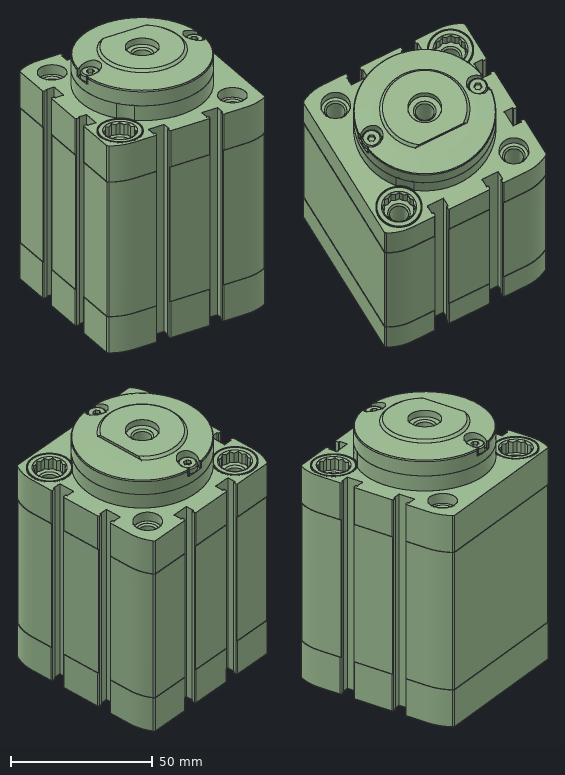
import cadquery as cq
import math


WIDTH = 65.5
HALF = WIDTH / 2
TOTAL_HEIGHT = 101.0
HOUSING_HEIGHT = 85.7
END_HEIGHT = 15.0
BARREL_INSET = 0.15

FLANK_RADIUS = 18.0
FLANK_START_Y = 23.2
FLANK_END_Y = 32.2
Y_FACE_HALF_WIDTH = 29.7

SLOT_OFFSET = 11.05
SLOT_OPENING = 5.2
SLOT_INNER_WIDTH = 6.5
SLOT_DEPTH = 4.9
SLOT_LIP = 1.6
SLOT_EDGE_CHAMFER = 0.4

THREAD_DIAMETER = 6.65
THREAD_MOUTH_DIAMETER = 8.0
THREAD_SINK = (THREAD_MOUTH_DIAMETER - THREAD_DIAMETER) / 2
DRILL_POINT_ANGLE = 118.0

CORNER_OFFSET = 23.25
CORNER_BORE_DIAMETER = 10.5
CORNER_BORE_DEPTH = 4.0
BUSH_DIAMETER = 16.4
BUSH_CHAMFER = 0.4
SOCKET_POINTS = 12
SOCKET_OUTER_DIAMETER = 11.8
SOCKET_INNER_DIAMETER = 10.8
SOCKET_MOUTH_DIAMETER = 12.4
SOCKET_DEPTH = 5.1

COLLAR_DIAMETER = 50.5
COLLAR_TOP = 91.8
COLLAR_RELIEF_DIAMETER = 17.0
CAP_TOP = 100.0
CAP_FACE_DIAMETER = 37.0
CAP_RIM_TOP = 98.1
CAP_RIM_INSET = 0.25
CAP_RIM_CHAMFER_HEIGHT = 0.5

ROD_DIAMETER = 32.0
ROD_FLAT = 12.1
ROD_BOTTOM = 15.0
ROD_CHAMFER = 1.0
ROD_BORE_DIAMETER = 12.0
ROD_BORE_DEPTH = 2.6
ROD_THREAD_DEPTH = 16.0

SCREW_OFFSET = 21.5
SCREW_HEAD_DIAMETER = 7.0
SCREW_HEAD_TOP = 97.7
SCREW_HEAD_CHAMFER = 0.5
SCREW_SEAT = 95.2
SCREW_SHANK_DIAMETER = 4.0
SCREW_BOTTOM = 82.0
SCREW_HEX_ACROSS_FLATS = 2.5
SCREW_HEX_DEPTH = 1.5
RECESS_DIAMETER = 8.0
NOTCH_WIDTH = 7.0
NOTCH_START = 24.6


def cylinder(diameter, bottom, top, x=0.0, y=0.0):
    return cq.Workplane("XY", origin=(x, y, bottom)).circle(diameter / 2).extrude(top - bottom)


def cone(bottom_diameter, top_diameter, bottom, top, x=0.0, y=0.0):
    base = cq.Vector(x, y, bottom)
    return cq.Workplane(obj=cq.Solid.makeCone(bottom_diameter / 2, top_diameter / 2, top - bottom, base))


def countersink(mouth, x=0.0, y=0.0):
    """45 degree entry of a threaded hole, with its wide end at Z = mouth."""
    return cone(THREAD_DIAMETER, THREAD_MOUTH_DIAMETER, mouth - THREAD_SINK, mouth, x, y)


def flatted_bar(bottom, top):
    """Round bar of the rod's diameter with one flat on its -X side."""
    keep = cq.Workplane("XY", origin=(-ROD_FLAT, 0, bottom)).box(
        2 * ROD_DIAMETER, 2 * ROD_DIAMETER, top - bottom, centered=(False, True, False)
    )
    return cylinder(ROD_DIAMETER, bottom, top).intersect(keep)


def flank_point(y):
    """Point of the (+X, +Y) corner arc at the given Y."""
    rise = y - FLANK_START_Y
    x = HALF - FLANK_RADIUS + math.sqrt(FLANK_RADIUS**2 - rise**2)
    return (x, y)


def block_outline(bottom):
    """Square outline whose corners are narrowed by arcs, at Z = bottom."""
    start = flank_point(FLANK_START_Y)
    middle = flank_point((FLANK_START_Y + FLANK_END_Y) / 2)
    end = flank_point(FLANK_END_Y)
    quarter = (
        cq.Workplane("XY", origin=(0, 0, bottom))
        .moveTo(HALF, 0)
        .lineTo(*start)
        .threePointArc(middle, end)
        .lineTo(Y_FACE_HALF_WIDTH, HALF)
        .lineTo(0, HALF)
    )
    return quarter.mirrorY().mirrorX()


def block(bottom, top):
    return block_outline(bottom).extrude(top - bottom)


def barrel_skin():
    """Thin layer taken off the outside of the housing between its two ends."""
    bottom = END_HEIGHT
    top = HOUSING_HEIGHT - END_HEIGHT
    barrel = block_outline(bottom).offset2D(-BARREL_INSET).extrude(top - bottom)
    return block(bottom, top).cut(barrel)


def slot_cutter():
    """T-slot with chamfered edges through the full height, in the -Y face at X = 0."""
    half_opening = SLOT_OPENING / 2
    half_mouth = half_opening + SLOT_EDGE_CHAMFER
    half_inner = SLOT_INNER_WIDTH / 2
    return (
        cq.Workplane("XY", origin=(0, -HALF, 0))
        .moveTo(0, 0)
        .lineTo(half_mouth, 0)
        .lineTo(half_opening, SLOT_EDGE_CHAMFER)
        .lineTo(half_opening, SLOT_LIP)
        .lineTo(half_inner, SLOT_LIP)
        .lineTo(half_inner, SLOT_DEPTH)
        .lineTo(0, SLOT_DEPTH)
        .mirrorY()
        .extrude(HOUSING_HEIGHT)
    )


def plain_corner_hole(x, y):
    mouth = HOUSING_HEIGHT - CORNER_BORE_DEPTH
    hole = cylinder(THREAD_DIAMETER, 0, mouth, x, y)
    hole = hole.union(countersink(mouth, x, y))
    return hole.union(cylinder(CORNER_BORE_DIAMETER, mouth, HOUSING_HEIGHT, x, y))


def socket(bottom, x, y):
    """Many-pointed star recess with a conical mouth."""
    points = []
    for i in range(2 * SOCKET_POINTS):
        diameter = SOCKET_OUTER_DIAMETER if i % 2 == 0 else SOCKET_INNER_DIAMETER
        angle = math.pi * i / SOCKET_POINTS
        points.append((diameter / 2 * math.cos(angle), diameter / 2 * math.sin(angle)))
    star = (
        cq.Workplane("XY", origin=(x, y, bottom)).polyline(points).close().extrude(HOUSING_HEIGHT - bottom)
    )
    sink = (SOCKET_MOUTH_DIAMETER - SOCKET_INNER_DIAMETER) / 2
    mouth = cone(
        SOCKET_INNER_DIAMETER, SOCKET_MOUTH_DIAMETER, HOUSING_HEIGHT - sink, HOUSING_HEIGHT, x, y
    )
    return star.union(mouth)


def bush_corner_hole(x, y):
    mouth = HOUSING_HEIGHT - SOCKET_DEPTH
    hole = cylinder(THREAD_DIAMETER, 0, mouth, x, y)
    hole = hole.union(countersink(mouth, x, y))
    return hole.union(socket(mouth, x, y))


def bush_groove(x, y):
    """V-groove around the chamfered rim of a corner bush."""
    floor = HOUSING_HEIGHT - BUSH_CHAMFER
    ring = cylinder(BUSH_DIAMETER, floor, HOUSING_HEIGHT, x, y)
    rim = cone(BUSH_DIAMETER, BUSH_DIAMETER - 2 * BUSH_CHAMFER, floor, HOUSING_HEIGHT, x, y)
    return ring.cut(rim)


def build_housing():
    body = block(0, HOUSING_HEIGHT).cut(barrel_skin())

    for face_angle in (-90, 0, 90):
        for side in (-1, 1):
            cutter = slot_cutter().translate((side * SLOT_OFFSET, 0, 0))
            body = body.cut(cutter.rotate((0, 0, 0), (0, 0, 1), face_angle))

    body = body.union(cylinder(COLLAR_DIAMETER, HOUSING_HEIGHT, COLLAR_TOP))

    for side in (-1, 1):
        x = side * CORNER_OFFSET
        body = body.cut(plain_corner_hole(x, x))
        body = body.cut(cylinder(COLLAR_RELIEF_DIAMETER, HOUSING_HEIGHT, COLLAR_TOP, x, -x))
        body = body.cut(bush_groove(x, -x))
        body = body.cut(bush_corner_hole(x, -x))

    body = body.cut(flatted_bar(ROD_BOTTOM, COLLAR_TOP))
    for side in (-1, 1):
        y = side * SCREW_OFFSET
        body = body.cut(cylinder(SCREW_SHANK_DIAMETER, SCREW_BOTTOM, COLLAR_TOP, 0, y))
    return body


def screw_recess(side):
    """Seat, shank hole and rim notch for the cap screw on the given Y side."""
    y = side * SCREW_OFFSET
    recess = cylinder(RECESS_DIAMETER, SCREW_SEAT, CAP_TOP, 0, y)
    recess = recess.union(cylinder(SCREW_SHANK_DIAMETER, COLLAR_TOP, SCREW_SEAT, 0, y))
    notch_end = COLLAR_DIAMETER
    notch = cq.Workplane("XY", origin=(0, side * (NOTCH_START + notch_end) / 2, SCREW_SEAT)).box(
        NOTCH_WIDTH, notch_end - NOTCH_START, CAP_TOP - SCREW_SEAT, centered=(True, True, False)
    )
    return recess.union(notch)


def build_cap():
    radius = COLLAR_DIAMETER / 2
    cap = (
        cq.Workplane("XZ")
        .moveTo(0, COLLAR_TOP)
        .lineTo(radius, COLLAR_TOP)
        .lineTo(radius, CAP_RIM_TOP - CAP_RIM_CHAMFER_HEIGHT)
        .lineTo(radius - CAP_RIM_INSET, CAP_RIM_TOP)
        .lineTo(CAP_FACE_DIAMETER / 2, CAP_TOP)
        .lineTo(0, CAP_TOP)
        .close()
        .revolve(360, (0, 0, 0), (0, 1, 0))
    )
    cap = cap.cut(flatted_bar(COLLAR_TOP, CAP_TOP))
    for side in (-1, 1):
        cap = cap.cut(screw_recess(side))
    return cap


def build_rod():
    chamfer_start = TOTAL_HEIGHT - ROD_CHAMFER
    tip = cone(ROD_DIAMETER, ROD_DIAMETER - 2 * ROD_CHAMFER, chamfer_start, TOTAL_HEIGHT)
    envelope = cylinder(ROD_DIAMETER, ROD_BOTTOM, chamfer_start).union(tip)
    rod = flatted_bar(ROD_BOTTOM, TOTAL_HEIGHT).intersect(envelope)

    mouth = TOTAL_HEIGHT - ROD_BORE_DEPTH
    floor = mouth - ROD_THREAD_DEPTH
    point_height = THREAD_DIAMETER / 2 / math.tan(math.radians(DRILL_POINT_ANGLE / 2))
    rod = rod.cut(cylinder(ROD_BORE_DIAMETER, mouth, TOTAL_HEIGHT))
    rod = rod.cut(countersink(mouth))
    rod = rod.cut(cylinder(THREAD_DIAMETER, floor, mouth))
    return rod.cut(cone(0, THREAD_DIAMETER, floor - point_height, floor))


def build_screw(side):
    y = side * SCREW_OFFSET
    screw = cylinder(SCREW_HEAD_DIAMETER, SCREW_SEAT, SCREW_HEAD_TOP, 0, y)
    screw = screw.faces(">Z").chamfer(SCREW_HEAD_CHAMFER)
    screw = screw.union(cylinder(SCREW_SHANK_DIAMETER, SCREW_BOTTOM, SCREW_SEAT, 0, y))
    hexagon = (
        cq.Workplane("XY", origin=(0, y, SCREW_HEAD_TOP - SCREW_HEX_DEPTH))
        .transformed(rotate=(0, 0, 90))
        .polygon(6, SCREW_HEX_ACROSS_FLATS, circumscribed=True)
        .extrude(SCREW_HEX_DEPTH)
    )
    return screw.cut(hexagon)


housing = build_housing()
cap = build_cap()
rod = build_rod()
screws = [build_screw(side) for side in (-1, 1)]
result = cq.Compound.makeCompound([housing.val(), cap.val(), rod.val(), *[screw.val() for screw in screws]])